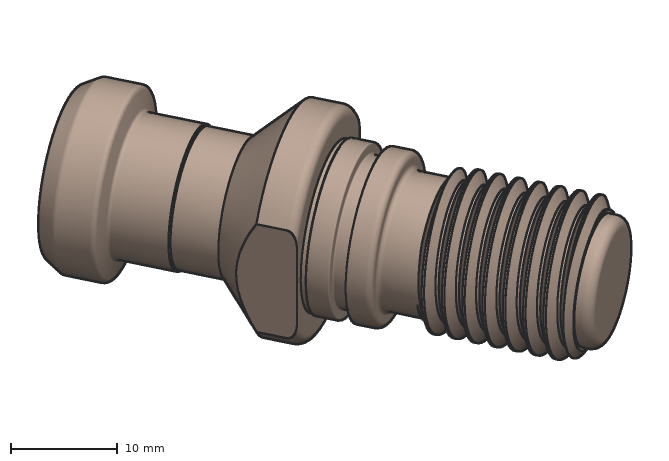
import cadquery as cq
import math

total_length = 54.0

head_radius = 9.5
head_taper_length = 2.0
head_taper_angle = 30.0
head_edge_fillet = 0.8
head_rim_fillet = 0.55
head_back_x = 6.05
head_back_angle = 13.0
head_back_fillet = 0.5
head_root_fillet = 0.3

neck_radius = 7.1
neck_step_x = 12.55
rear_neck_radius = 6.9

flange_radius = 11.5
cone_end_x = 22.0
flange_back_x = 26.0
flange_fillet = 1.0
flats_width = 2 * head_radius

pilot_radius = 8.55
relief_radius = 8.35
relief_end_x = 26.5
groove_radius = 7.4
groove_start_x = 28.85
groove_end_x = 30.4
groove_edge_fillet = 0.15
pilot_end_x = 33.0
pilot_fillet = 0.65

shank_radius = 6.75
shank_root_fillet = 0.5
thread_radius = 8.0
thread_pitch = 2.0
thread_start_x = 36.85
thread_end_x = 52.25
thread_crest_width = 0.245
thread_flank_angle = 30.0
thread_end_angle = 60.0
bottom_crest_x = 36.4
tip_radius = 6.4
tip_fillet = 1.0

hole_radius = 3.5
hole_mouth_radius = 4.55
hole_depth = 14.05
drill_point_angle = 118.0

pick_tolerance = 0.005
ridge_overlap = 0.1
crest_clearance = 0.25


def tan(degrees):
    return math.tan(math.radians(degrees))


def revolve_outline(points):
    """Turn a closed (x, radius) outline about the X axis."""
    return cq.Workplane("XZ").polyline(points).close().revolve(360, (0, 0, 0), (1, 0, 0))


def centered_box(x, half_width):
    """Selector for everything inside a thin square plate across the axis at x."""
    return cq.selectors.BoxSelector(
        (x - pick_tolerance, -half_width, -half_width),
        (x + pick_tolerance, half_width, half_width),
        boundingbox=True,
    )


def ring_edge(body, x, radius):
    """Select the circular edge lying at one x position with one radius."""
    up_to_ring = centered_box(x, radius + pick_tolerance)
    inside_ring = centered_box(x, radius - pick_tolerance)
    return body.edges(up_to_ring - inside_ring)


def make_turned_body():
    """Revolve the stud without its thread, then round its rings."""
    head_face_radius = head_radius - head_taper_length * tan(head_taper_angle)
    head_root_x = head_back_x + (head_radius - neck_radius) * tan(head_back_angle)
    cone_start_x = cone_end_x - (flange_radius - rear_neck_radius)
    body = revolve_outline([
        (0, 0),
        (0, head_face_radius),
        (head_taper_length, head_radius),
        (head_back_x, head_radius),
        (head_root_x, neck_radius),
        (neck_step_x, neck_radius),
        (neck_step_x + neck_radius - rear_neck_radius, rear_neck_radius),
        (cone_start_x, rear_neck_radius),
        (cone_end_x, flange_radius),
        (flange_back_x, flange_radius),
        (flange_back_x, relief_radius),
        (relief_end_x, relief_radius),
        (relief_end_x, pilot_radius),
        (groove_start_x, pilot_radius),
        (groove_start_x, groove_radius),
        (groove_end_x, groove_radius),
        (groove_end_x, pilot_radius),
        (pilot_end_x, pilot_radius),
        (pilot_end_x, shank_radius),
        (thread_end_x, shank_radius),
        (thread_end_x, tip_radius),
        (total_length, tip_radius),
        (total_length, 0),
    ])
    rounded_rings = [
        (0, head_face_radius, head_edge_fillet),
        (head_taper_length, head_radius, head_rim_fillet),
        (head_back_x, head_radius, head_back_fillet),
        (head_root_x, neck_radius, head_root_fillet),
        (flange_back_x, flange_radius, flange_fillet),
        (groove_start_x, pilot_radius, groove_edge_fillet),
        (groove_start_x, groove_radius, groove_edge_fillet),
        (groove_end_x, groove_radius, groove_edge_fillet),
        (groove_end_x, pilot_radius, groove_edge_fillet),
        (pilot_end_x, pilot_radius, pilot_fillet),
        (pilot_end_x, shank_radius, shank_root_fillet),
        (total_length, tip_radius, tip_fillet),
    ]
    for x, radius, fillet in rounded_rings:
        body = ring_edge(body, x, radius).fillet(fillet)
    return body


def cut_flats(body):
    """Trim the flange to two flats facing -Y and +Y."""
    slab = cq.Workplane("XY").box(
        total_length, flats_width, 2 * flange_radius, centered=(False, True, True)
    )
    return body.intersect(slab)


def make_thread():
    """Sweep the right-hand thread ridge and trim its ends to cones."""
    base_radius = shank_radius - ridge_overlap
    crest_half = thread_crest_width / 2
    base_half = crest_half + (thread_radius - base_radius) * tan(thread_flank_angle)
    spare_turns = 2
    turns = math.ceil((thread_end_x - thread_start_x) / thread_pitch) + spare_turns
    helix = cq.Wire.makeHelix(thread_pitch, turns * thread_pitch, shank_radius)
    ridge = (
        cq.Workplane("XZ")
        .polyline([
            (base_radius, -base_half),
            (thread_radius, -crest_half),
            (thread_radius, crest_half),
            (base_radius, base_half),
        ])
        .close()
        .sweep(cq.Workplane(obj=helix), isFrenet=True)
        .rotate((0, 0, 0), (0, 1, 0), 90)
        .translate((bottom_crest_x - thread_pitch, 0, 0))
    )
    envelope_radius = thread_radius + crest_clearance
    chamfer_length = (envelope_radius - shank_radius) / tan(thread_end_angle)
    envelope = revolve_outline([
        (thread_start_x, 0),
        (thread_start_x, shank_radius),
        (thread_start_x + chamfer_length, envelope_radius),
        (thread_end_x - chamfer_length, envelope_radius),
        (thread_end_x, shank_radius),
        (thread_end_x, 0),
    ])
    return ridge.intersect(envelope)


def make_hole():
    """Blind drilled hole with a 45 degree countersunk mouth."""
    mouth_depth = hole_mouth_radius - hole_radius
    point_length = hole_radius / tan(drill_point_angle / 2)
    return revolve_outline([
        (0, 0),
        (0, hole_mouth_radius),
        (mouth_depth, hole_radius),
        (hole_depth, hole_radius),
        (hole_depth + point_length, 0),
    ])


result = cut_flats(make_turned_body()).union(make_thread()).cut(make_hole())